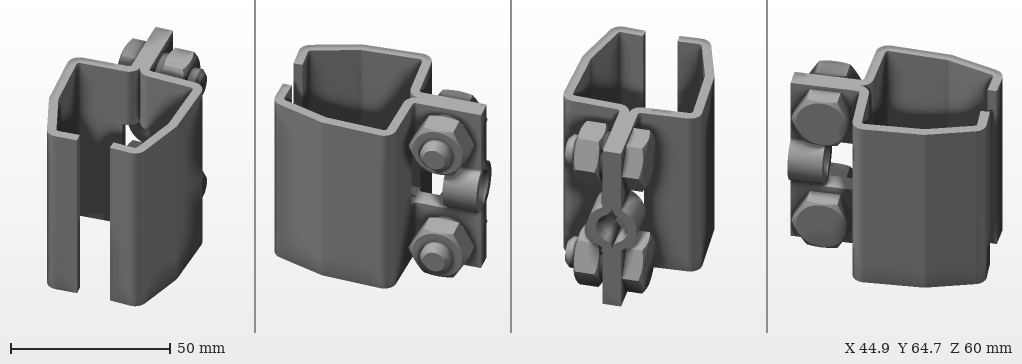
import cadquery as cq
import math

width = 44.85
depth = 64.7
height = 60.0

sheet = 3.0
bend_radius = 1.0
knee_radius = 1.0
web_length = 21.3
side_length = 18.95
lip_length = 7.0
wall_tilt = 3.0
taper_angle = 18.0

bore_diameter = 11.0
barrel_length = 11.1
barrel_inset = 0.4
window_width = 9.6
window_height = 18.0

bolt_y = depth - barrel_length
bolt_z = 20.0
shank_diameter = 10.0
shank_end = 17.1
shank_chamfer = 1.4
hex_flats = 17.0
hex_face_diameter = 16.2
hex_chamfer_angle = 30.0
head_thickness = 6.3
nut_thickness = 8.2

washer_diameter = 15.3
washer_thickness = 2.0
washer_gap = 1.15
gap_position = 43.0
gap_slant = 20.0


def trace_edge(outline, point, heading, segments):
    """Draw the sheet face left of a middle line; return the outline, end point and end heading.

    A segment is (turn, size): a flat of that length when turn is 0, otherwise
    a bend through that many degrees (left is positive) with that inside radius.
    """
    x, y = point

    def face_point():
        side = math.radians(heading + 90)
        return x + sheet / 2 * math.cos(side), y + sheet / 2 * math.sin(side)

    if outline.ctx.pendingEdges:
        outline = outline.lineTo(*face_point())
    else:
        outline = outline.moveTo(*face_point())
    for turn, size in segments:
        if turn == 0:
            x += size * math.cos(math.radians(heading))
            y += size * math.sin(math.radians(heading))
            outline = outline.lineTo(*face_point())
            continue
        side = math.copysign(90, turn)
        radius = size + sheet / 2
        centre_x = x + radius * math.cos(math.radians(heading + side))
        centre_y = y + radius * math.sin(math.radians(heading + side))
        on_arc = []
        for _ in range(2):
            heading += turn / 2
            x = centre_x - radius * math.cos(math.radians(heading + side))
            y = centre_y - radius * math.sin(math.radians(heading + side))
            on_arc.append(face_point())
        outline = outline.threePointArc(*on_arc)
    return outline, (x, y), heading


def bent_sheet(plane, start, heading, segments, extrusion):
    """Sheet following the segments from the start, plus its mirror image across X = 0."""
    outline, end, end_heading = trace_edge(plane, start, heading, segments)
    way_back = [(-turn, size) for turn, size in reversed(segments)]
    outline = trace_edge(outline, end, end_heading + 180, way_back)[0]
    half = outline.close().extrude(extrusion)
    return half.union(half.mirror("YZ"))


def channel():
    """Web, rear wall, tapered side walls and lips."""
    outer_radius = bend_radius + sheet
    middle_radius = bend_radius + sheet / 2
    tilt = math.radians(wall_tilt)
    taper = math.radians(taper_angle)

    rear_length = (width / 2 - 2 * outer_radius + 2 * middle_radius * math.sin(tilt)) / math.cos(tilt)
    corner_y = depth - web_length - rear_length * math.sin(tilt) - 2 * middle_radius * math.cos(tilt)
    knee_start_y = corner_y - middle_radius * math.sin(tilt) - side_length * math.cos(tilt)
    knee_end_y = knee_start_y - (knee_radius + sheet / 2) * (math.sin(taper) - math.sin(tilt))
    taper_end_y = outer_radius - middle_radius * math.sin(taper)
    taper_length = (knee_end_y - taper_end_y) / math.cos(taper)

    segments = [
        (0, web_length),
        (90 - wall_tilt, bend_radius),
        (0, rear_length),
        (-90, bend_radius),
        (0, side_length),
        (wall_tilt - taper_angle, knee_radius),
        (0, taper_length),
        (taper_angle - 90 - wall_tilt, bend_radius),
        (0, lip_length),
    ]
    plane = cq.Workplane("XY", origin=(0, 0, -height / 2))
    body = bent_sheet(plane, (sheet / 2, depth), -90, segments, height)
    window_depth = depth / 2
    window = cq.Workplane("XY").box(window_width, window_depth, window_height)
    return body.cut(window.translate((0, depth - window_depth / 2, 0)))


def barrel():
    """Rear strip of the web, with both sheets bulging out around the bore."""
    bore_radius = bore_diameter / 2
    centre_distance = bore_radius + sheet + bend_radius
    flare_x = barrel_inset + sheet + bend_radius
    flare_z = math.sqrt(centre_distance**2 - flare_x**2)
    flare_angle = math.degrees(math.acos(flare_x / centre_distance))
    flat_length = height / 2 - flare_z
    segments = [
        (0, flat_length),
        (flare_angle, bend_radius),
        (-2 * flare_angle, bore_radius),
        (flare_angle, bend_radius),
        (0, flat_length),
    ]
    plane = cq.Workplane("XZ", origin=(0, depth, 0))
    return bent_sheet(plane, (sheet / 2, height / 2), -90, segments, barrel_length)


def along_x(start):
    """Workplane across the X axis at the given start, for shapes extruded towards +X."""
    return cq.Workplane("YZ", origin=(start, 0, 0))


def chamfered_hexagon(start, thickness, chamfer_both_ends):
    """Hexagon along X with corners on Y; the conical chamfer is at -X or at both ends."""
    corners = hex_flats / math.cos(math.radians(30))
    face_radius = hex_face_diameter / 2
    corner_radius = corners / 2
    chamfer = (corner_radius - face_radius) * math.tan(math.radians(hex_chamfer_angle))
    end = start + thickness
    profile = [(start, 0), (start, face_radius), (start + chamfer, corner_radius)]
    if chamfer_both_ends:
        profile += [(end - chamfer, corner_radius), (end, face_radius), (end, 0)]
    else:
        profile += [(end, corner_radius), (end, 0)]
    cone = cq.Workplane("XY").polyline(profile).close().revolve(360, (0, 0, 0), (1, 0, 0))
    return along_x(start).polygon(6, corners).extrude(thickness).intersect(cone)


def spring_washer(start):
    washer = along_x(start).circle(washer_diameter / 2).extrude(washer_thickness)
    gap = cq.Workplane("XY").box(2 * washer_thickness, washer_gap, washer_diameter)
    gap = gap.rotate((0, 0, 0), (0, 0, 1), gap_slant)
    gap = gap.translate((start + washer_thickness / 2, 0, washer_diameter / 2))
    return washer.cut(gap.rotate((0, 0, 0), (1, 0, 0), -gap_position))


def bolt():
    """Bolt with head at -X, spring washer and nut at +X, on the X axis."""
    head_start = -sheet - head_thickness
    nut_start = sheet + washer_thickness
    shank = along_x(head_start).circle(shank_diameter / 2).extrude(shank_end - head_start)
    shank = shank.faces(">X").chamfer(shank_chamfer)
    head = chamfered_hexagon(head_start, head_thickness, chamfer_both_ends=False)
    nut = chamfered_hexagon(nut_start, nut_thickness, chamfer_both_ends=True)
    return spring_washer(sheet).union(shank).union(head).union(nut)


result = channel().union(barrel())
for z in (-bolt_z, bolt_z):
    result = result.union(bolt().translate((0, bolt_y, z)))